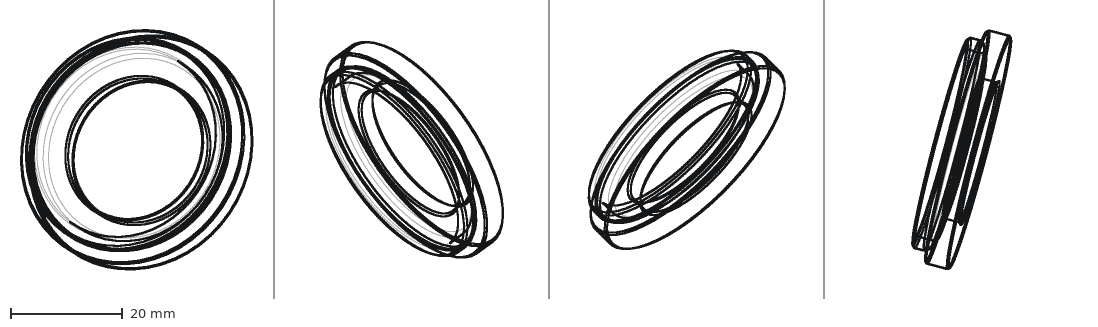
import cadquery as cq

flange_radius = 21.6
spigot_radius = 19.5
relief_radius = 19.05
recess_wall_radius = 17.32
bore_radius = 12.95

total_length = 7.4
flange_width = 4.4
flange_start = total_length - flange_width
spigot_land_end = 2.2
recess_depth = 4.0

flange_chamfer = 0.3
spigot_chamfer = 0.45
bore_chamfer = 0.4
recess_mouth_fillet = 0.3
recess_floor_fillet = 0.75

section = (
    cq.Workplane("XZ")
    .moveTo(0, recess_wall_radius + recess_mouth_fillet)
    .lineTo(0, spigot_radius - spigot_chamfer)
    .lineTo(spigot_chamfer, spigot_radius)
    .lineTo(spigot_land_end, spigot_radius)
    .lineTo(spigot_land_end, relief_radius)
    .lineTo(flange_start, relief_radius)
    .lineTo(flange_start, flange_radius - flange_chamfer)
    .lineTo(flange_start + flange_chamfer, flange_radius)
    .lineTo(total_length - flange_chamfer, flange_radius)
    .lineTo(total_length, flange_radius - flange_chamfer)
    .lineTo(total_length, bore_radius + bore_chamfer)
    .lineTo(total_length - bore_chamfer, bore_radius)
    .lineTo(recess_depth + bore_chamfer, bore_radius)
    .lineTo(recess_depth, bore_radius + bore_chamfer)
    .lineTo(recess_depth, recess_wall_radius - recess_floor_fillet)
    .radiusArc((recess_depth - recess_floor_fillet, recess_wall_radius), -recess_floor_fillet)
    .lineTo(recess_mouth_fillet, recess_wall_radius)
    .radiusArc((0, recess_wall_radius + recess_mouth_fillet), recess_mouth_fillet)
    .close()
)

result = section.revolve(360, (0, 0, 0), (1, 0, 0))